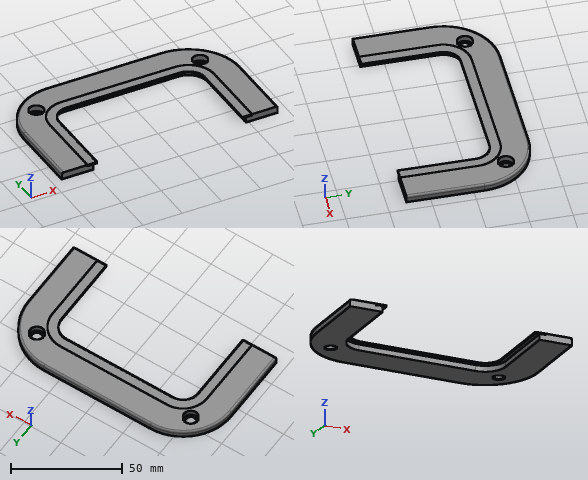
import cadquery as cq

WIDTH = 110.0
DEPTH = 62.0
THICKNESS = 3.5
CORNER_RADIUS = 26.1
EDGE_ROUND = 1.0

SEAM_INSET = 13.1
FRAME_INSET = 16.1
STRIP_INSET = 18.0
STRIP_THICKNESS = 0.7
REBATE_FLOOR = THICKNESS - STRIP_THICKNESS

HOLE_INSET = 13.3
HOLE_DIAMETER = 5.5
COUNTERBORE_DIAMETER = 7.2
COUNTERBORE_DEPTH = 3.0


def arch(inset, bottom, height):
    """Solid arch whose outline lies inside the outer outline by the given inset."""
    half_width = WIDTH / 2 - inset
    top = DEPTH - inset
    return (
        cq.Workplane("XY", origin=(0, 0, bottom))
        .moveTo(-half_width, 0)
        .lineTo(-half_width, top)
        .lineTo(half_width, top)
        .lineTo(half_width, 0)
        .close()
        .extrude(height)
        .edges("|Z and >Y")
        .fillet(CORNER_RADIUS - inset)
    )


def make_frame():
    """U-shaped frame with a rounded outer top edge, an inner rebate and two screw holes."""
    outer = arch(0, 0, THICKNESS)
    outer = outer.faces(">Z").edges("not <Y").fillet(EDGE_ROUND)
    opening = arch(FRAME_INSET, 0, THICKNESS)
    rebate = arch(SEAM_INSET, REBATE_FLOOR, STRIP_THICKNESS)
    hole_x = WIDTH / 2 - HOLE_INSET
    hole_y = DEPTH - HOLE_INSET
    return (
        outer.cut(opening)
        .cut(rebate)
        .faces(">Z")
        .workplane(origin=(0, 0, THICKNESS))
        .pushPoints([(-hole_x, hole_y), (hole_x, hole_y)])
        .cboreHole(HOLE_DIAMETER, COUNTERBORE_DIAMETER, COUNTERBORE_DEPTH)
    )


def make_strip():
    """Thin U-shaped strip in the rebate, flush with the frame top and overhanging the opening."""
    outer = arch(SEAM_INSET, REBATE_FLOOR, STRIP_THICKNESS)
    opening = arch(STRIP_INSET, REBATE_FLOOR, STRIP_THICKNESS)
    return outer.cut(opening)


frame = make_frame()
strip = make_strip()

result = cq.Compound.makeCompound([frame.val(), strip.val()])